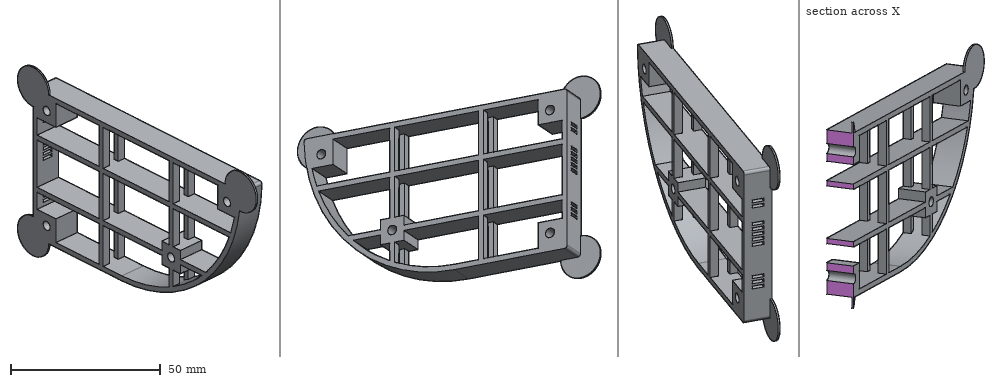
import cadquery as cq
import math


length = 99.7
height = 57.0
depth = 10.0
wall = 2.0
corner_radius = 1.0
arc_radius = height
arc_center_x = length - arc_radius

rib = 2.0
upright_centers = (32.7, 66.3)
crossbar_centers = (38.4, 18.5)
window_front = 3.0
window_depth = 4.0

hole_diameter = 3.3
post_hole_inset = 6.5
post_size = 9.0
post_reach = post_hole_inset + post_size / 2

overall_length = 114.7
pad_diameter = overall_length - length
pad_thickness = 0.7

slot_height = 1.0
slot_pitch = 2.0
slot_counts = (2, 5, 3)
slot_tops = (
    height - post_reach,
    crossbar_centers[0] - rib / 2,
    crossbar_centers[1] - rib / 2,
)


def block(x0, x1, z0, z1, y0=0.0, y1=depth):
    """Box between the given limits."""
    return cq.Workplane("XY").box(x1 - x0, y1 - y0, z1 - z0, centered=False).translate((x0, y0, z0))


def cylinder(x, z, diameter, thickness):
    """Round disc standing on the front face and running toward +Y."""
    disc = cq.Workplane("XZ").center(x, z).circle(diameter / 2)
    return disc.extrude(-thickness)


def frame_profile(inset):
    """Frame outline moved inward by inset: three straight sides and a quarter arc."""
    radius = arc_radius - inset
    right = arc_center_x + math.sqrt(radius**2 - inset**2)
    bend = radius * math.sqrt(0.5)
    profile = (
        cq.Workplane("XZ")
        .moveTo(inset, height - inset)
        .lineTo(inset, inset)
        .lineTo(arc_center_x, inset)
        .threePointArc((arc_center_x + bend, height - bend), (right, height - inset))
        .close()
    )
    return profile.extrude(-depth)


outline = frame_profile(0).edges("|Y and (<X or >X)").fillet(corner_radius)

body = outline.cut(frame_profile(wall))

window_back = window_front + window_depth
inner_blocks = []
for x in upright_centers:
    inner_blocks.append(block(x - rib / 2, x + rib / 2, 0, height, 0, window_front))
    inner_blocks.append(block(x - rib / 2, x + rib / 2, 0, height, window_back, depth))
for z in crossbar_centers:
    inner_blocks.append(block(0, length, z - rib / 2, z + rib / 2))

crossing_x = upright_centers[1]
crossing_z = crossbar_centers[1]
half_post = post_size / 2
inner_blocks.append(block(0, post_reach, 0, post_reach))
inner_blocks.append(block(0, post_reach, height - post_reach, height))
inner_blocks.append(block(length - post_reach, length, height - post_reach, height))
inner_blocks.append(
    block(crossing_x - half_post, crossing_x + half_post, crossing_z - half_post, crossing_z + half_post)
)

for inner_block in inner_blocks:
    body = body.union(outline.intersect(inner_block))

for x, z in ((0, 0), (0, height), (length, height)):
    body = body.union(cylinder(x, z, pad_diameter, pad_thickness))

hole_centers = (
    (post_hole_inset, post_hole_inset),
    (post_hole_inset, height - post_hole_inset),
    (length - post_hole_inset, height - post_hole_inset),
    (crossing_x, crossing_z),
)
for x, z in hole_centers:
    body = body.cut(cylinder(x, z, hole_diameter, depth))

for top, count in zip(slot_tops, slot_counts):
    for i in range(count):
        z = top - i * slot_pitch
        body = body.cut(block(0, wall, z - slot_height, z, window_front, window_back))

result = body